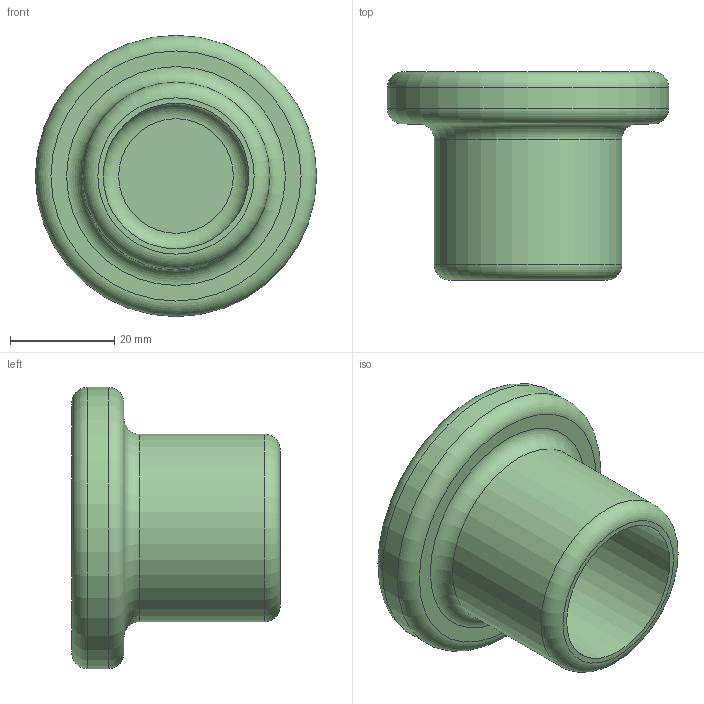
import cadquery as cq

flange_diameter = 54.0
flange_thickness = 10.0
spigot_diameter = 36.0
spigot_length = 30.0
bore_diameter = 28.0
bore_depth = spigot_length
edge_radius = 3.0


def cylinder_toward_minus_y(diameter, start_y, length):
    """Solid cylinder on the Y axis that runs from start_y toward -Y."""
    plane = cq.Workplane("XZ", origin=(0, start_y, 0))
    return plane.circle(diameter / 2).extrude(length)


def make_body():
    """Flange and spigot, with rounded outer edges and a filleted root."""
    flange = cylinder_toward_minus_y(flange_diameter, flange_thickness, flange_thickness)
    spigot = cylinder_toward_minus_y(spigot_diameter, 0, spigot_length)
    return flange.union(spigot).edges("%CIRCLE").fillet(edge_radius)


def make_bore():
    """Blind bore volume, rounded where its wall meets its floor."""
    open_end_y = -spigot_length
    bore = cylinder_toward_minus_y(bore_diameter, open_end_y + bore_depth, bore_depth)
    return bore.faces(">Y").edges().fillet(edge_radius)


result = make_body().cut(make_bore())